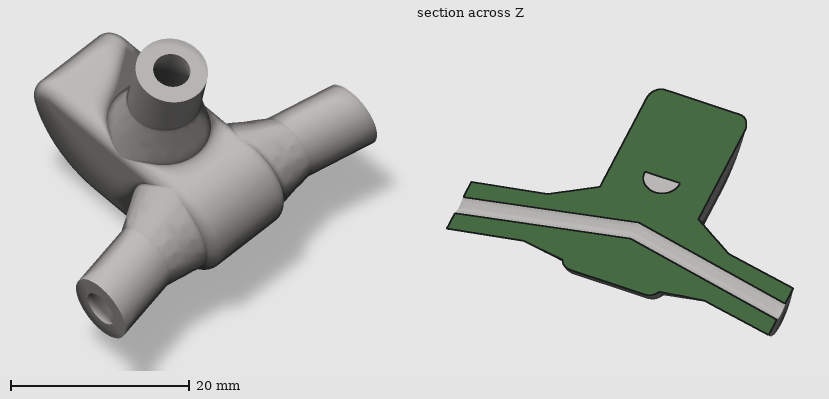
import cadquery as cq
import math

body_radius = 6.0
body_width = 12.0
body_min_x = -23.72
nose_radius = 3.5
belly_radius = 10.7
edge_fillet = 1.5

flare_top = 11.0
flare_root = 5.0
upper_root_half_length = 6.5
side_root_half_length = 6.25
root_half_width = 5.9

upper_tube_diameter = 8.2
upper_lean = math.radians(10.0)
upper_end_x = -6.77
upper_end_z = 17.96
upper_root_x = -9.05

side_tube_diameter = 8.0
side_end_x = 2.07
side_end_y = 19.575
side_slope = 0.2
side_root_x = -1.1

bore_diameter = 4.2
upper_bore_depth = 20.0
side_bore_meeting_x = -2.2


def point_on_arc(center_x, center_z, radius, angle):
    return (center_x + radius * math.cos(angle), center_z + radius * math.sin(angle))


def make_body():
    nose_x = body_min_x + nose_radius
    nose_z = body_radius - nose_radius
    belly_z = belly_radius - body_radius
    center_rise = belly_z - nose_z
    center_gap = belly_radius - nose_radius
    belly_x = nose_x + math.sqrt(center_gap**2 - center_rise**2)
    joint_angle = math.pi + math.atan2(center_rise, belly_x - nose_x)
    top_angle = 0.5 * math.pi
    bottom_angle = 1.5 * math.pi
    joint = point_on_arc(nose_x, nose_z, nose_radius, joint_angle)
    nose_middle = point_on_arc(nose_x, nose_z, nose_radius, (top_angle + joint_angle) / 2)
    belly_middle = point_on_arc(belly_x, belly_z, belly_radius, (joint_angle + bottom_angle) / 2)
    return (
        cq.Workplane("XZ")
        .moveTo(0, -body_radius)
        .threePointArc((body_radius, 0), (0, body_radius))
        .lineTo(nose_x, body_radius)
        .threePointArc(nose_middle, joint)
        .threePointArc(belly_middle, (belly_x, -body_radius))
        .close()
        .extrude(body_width / 2, both=True)
        .faces("|Y")
        .edges()
        .fillet(edge_fillet)
    )


def oval(center, normal, half_length, half_width):
    """Closed ellipse wire with its half_length along X."""
    plane = cq.Plane(origin=center, xDir=(1, 0, 0), normal=normal)
    return cq.Workplane(plane).ellipse(half_length, half_width).wires().val()


def skin(first, second):
    """Solid with straight sides between two closed wires."""
    return cq.Workplane(cq.Solid.makeLoft([first, second], True))


def upper_rod(diameter, length):
    """Round bar running from the upper tube end down along the tube axis."""
    axis_down = cq.Vector(-math.sin(upper_lean), 0, -math.cos(upper_lean))
    end = cq.Vector(upper_end_x, 0, upper_end_z)
    return cq.Workplane(cq.Solid.makeCylinder(diameter / 2, length, end, axis_down))


def make_upper_branch():
    radius = upper_tube_diameter / 2
    neck_x = upper_end_x - (upper_end_z - flare_top) * math.tan(upper_lean)
    up = (0, 0, 1)
    root = oval((upper_root_x, 0, flare_root), up, upper_root_half_length, root_half_width)
    neck = oval((neck_x, 0, flare_top), up, radius / math.cos(upper_lean), radius)
    tube_length = (upper_end_z - body_radius) / math.cos(upper_lean)
    return skin(root, neck).union(upper_rod(upper_tube_diameter, tube_length))


def side_circle(side, distance, diameter):
    """Circle parallel to the XZ plane and centred on the side tube axis, at this distance from the XZ plane."""
    x = side_end_x - (side_end_y - distance) * side_slope
    return oval((x, side * distance, 0), (0, 1, 0), diameter / 2, diameter / 2)


def make_side_branch(side):
    root = oval((side_root_x, side * flare_root, 0), (0, 1, 0), side_root_half_length, root_half_width)
    neck = side_circle(side, flare_top, side_tube_diameter)
    end = side_circle(side, side_end_y, side_tube_diameter)
    return skin(root, neck).union(skin(neck, end))


def make_side_bore(side):
    """Bore leaning slightly more than its tube."""
    radius = bore_diameter / 2
    meeting = oval((side_bore_meeting_x, 0, 0), (0, 1, 0), radius, radius)
    return skin(meeting, side_circle(side, side_end_y, bore_diameter))


sides = (-1, 1)
result = make_body().union(make_upper_branch())
for side in sides:
    result = result.union(make_side_branch(side))
result = result.cut(upper_rod(bore_diameter, upper_bore_depth))
for side in sides:
    result = result.cut(make_side_bore(side))